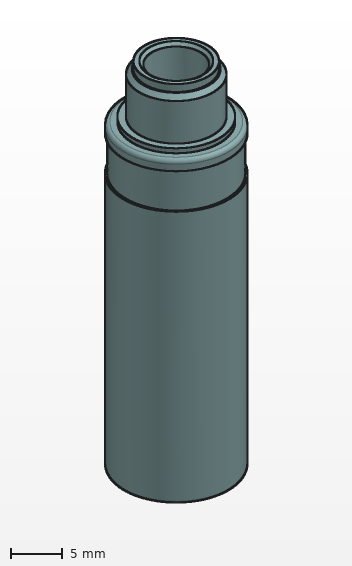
import cadquery as cq
import math

total_height = 48.0
body_radius = 13.8 / 2

dome_radius = 13.8
dome_rim_height = 1.65
dome_rim_fillet = 0.3

body_top = 35.1
waist_radius = 13.4 / 2
collar_bottom = 39.75
collar_top = 41.05
collar_fillet = 0.5
step_radius = 11.4 / 2
step_top = 41.6
neck_radius = 9.75 / 2
neck_chamfer = 0.6
tip_bottom = 47.1
tip_radius = 8.3 / 2

bore_top_radius = 6.4 / 2
bore_bottom_radius = 3.5 / 2
bore_chamfer = 0.4


def dome_height(radius):
    """Height of the spherical lower end, measured from its crown."""
    return dome_radius - math.sqrt(dome_radius**2 - radius**2)


def make_outside():
    """Solid of revolution carrying every outer step."""
    crown = dome_rim_height - dome_height(body_radius)
    mid_radius = body_radius / 2
    profile = (
        cq.Workplane("XZ")
        .moveTo(0, crown)
        .threePointArc((mid_radius, crown + dome_height(mid_radius)), (body_radius, dome_rim_height))
        .lineTo(body_radius, body_top)
        .lineTo(waist_radius, body_top)
        .lineTo(waist_radius, collar_bottom)
        .lineTo(body_radius, collar_bottom)
        .lineTo(body_radius, collar_top)
        .lineTo(step_radius, collar_top)
        .lineTo(step_radius, step_top)
        .lineTo(neck_radius, step_top)
        .lineTo(neck_radius, tip_bottom - neck_chamfer)
        .lineTo(neck_radius - neck_chamfer, tip_bottom)
        .lineTo(tip_radius, tip_bottom)
        .lineTo(tip_radius, total_height)
        .lineTo(0, total_height)
        .close()
    )
    return profile.revolve(360, (0, 0, 0), (0, 1, 0))


def round_edge(solid, height, fillet_radius):
    """Round the circular body edge at the given height."""
    rim = cq.selectors.BoxSelector(
        (-body_radius - 0.5, -body_radius - 0.5, height - 0.05),
        (body_radius + 0.5, body_radius + 0.5, height + 0.05),
        boundingbox=True,
    )
    edges = solid.edges("%CIRCLE").edges(rim).edges(cq.selectors.RadiusNthSelector(-1))
    return edges.fillet(fillet_radius)


def make_bore():
    """Tapered through bore with a chamfered mouth."""
    return (
        cq.Workplane("XZ")
        .moveTo(0, 0)
        .lineTo(bore_bottom_radius, 0)
        .lineTo(bore_top_radius, total_height - bore_chamfer)
        .lineTo(bore_top_radius + bore_chamfer, total_height)
        .lineTo(0, total_height)
        .close()
        .revolve(360, (0, 0, 0), (0, 1, 0))
    )


outside = make_outside()
outside = round_edge(outside, dome_rim_height, dome_rim_fillet)
outside = round_edge(outside, collar_top, collar_fillet)
base_trim = cq.Workplane("XY").circle(body_radius).extrude(-0.5)
result = outside.cut(make_bore()).cut(base_trim)